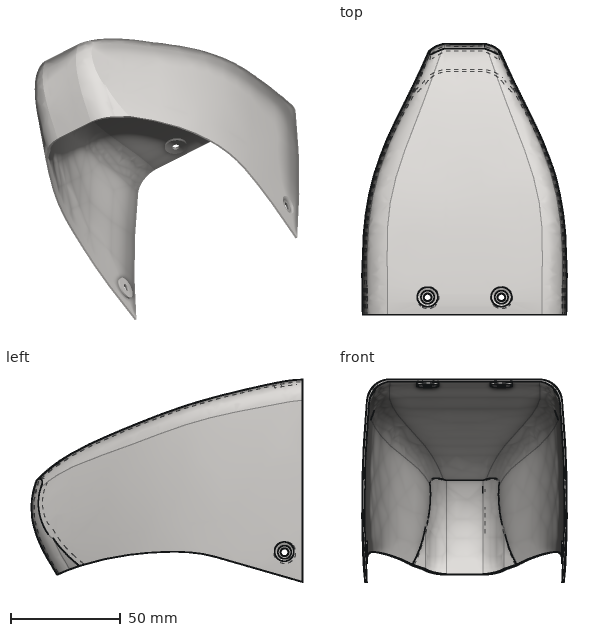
import cadquery as cq

length = 123.4
wall = 1.0
far = 246.8
base = -7.4

cross_sections = [
    (-12.3, 45.4, 88.8, 1.4, 1.0),
    (3.1, 46.2, 92.0, 1.4, 1.0),
    (18.5, 46.3, 89.3, 1.4, 1.0),
    (59.2, 42.2, 78.2, 1.9, 0.9),
    (90.1, 30.4, 65.9, 3.1, 0.8),
    (109.3, 21.0, 55.9, 4.3, 0.6),
    (120.9, 15.8, 46.4, 4.9, 0.5),
    (128.3, 12.3, 37.6, 4.9, 0.4),
]

corner_foot = (1.7, 9.5)
corner_middle = (4.8, 3.0)
corner_top = (11.1, 0.0)
widest_level = 0.6

nose_flat = (9.3, 123.4)
nose_bend = (14.3, 121.4)
nose_cheek = (18.8, 116.2)
nose_flank = (69.1, 55.5)
nose_levels = [(-9.9, 104.9), (3.3, 111.7), (25.5, 122.4), (35.8, length), (45.7, 121.3), (98.7, 116)]

rim_rear = (0, 0)
rim_bend = (39.9, 11.5)
rim_crest = (65.4, 13.6)
rim_nose = (111.7, 3.3)
rim_end = (128.3, -5.3)

hole_diameter = 3.5
seat_diameter = 10.0
seat_floor_diameter = 6.0
seat_depth = 1.1
boss_depth = 2.3
seat_lead = 1.2
seat_setback = 8.3
roof_seat_x = 16.8
roof_seat_z = 91.6
roof_seat_slope = 0.16
side_seat_x = 46.5
side_seat_z = 13.6


def mirrored(point):
    """Point reflected across the YZ plane."""
    return (-point[0], point[1])


def cross_section(y, half_width, roof, lean, scale, inset):
    """Outline at one distance from the rear, with barrelled walls and round roof corners."""
    half = half_width - inset
    top = roof - inset
    foot = (half - lean, base - inset)
    widest = (half, roof * widest_level)
    corner = [(half - dx * scale, top - dz * scale) for dx, dz in (corner_foot, corner_middle, corner_top)]
    return (
        cq.Workplane("XZ", origin=(0, y, 0))
        .moveTo(*foot)
        .threePointArc(widest, corner[0])
        .threePointArc(corner[1], corner[2])
        .lineTo(*mirrored(corner[2]))
        .threePointArc(mirrored(corner[1]), mirrored(corner[0]))
        .threePointArc(mirrored(widest), mirrored(foot))
        .close()
        .val()
    )


def nose_outline(height, reach, inset):
    """Horizontal outline of the nose with rounded corners; its flanks lie outside the walls."""
    shift = reach - length - inset
    flat, bend, cheek, flank = [
        (x - inset, y + shift) for x, y in (nose_flat, nose_bend, nose_cheek, nose_flank)
    ]
    rear = (flank[0], -far)
    return (
        cq.Workplane("XY", origin=(0, 0, height))
        .moveTo(*rear)
        .lineTo(*flank)
        .lineTo(*cheek)
        .threePointArc(bend, flat)
        .lineTo(*mirrored(flat))
        .threePointArc(mirrored(bend), mirrored(cheek))
        .lineTo(*mirrored(flank))
        .lineTo(*mirrored(rear))
        .close()
        .val()
    )


def closed_body(inset):
    """Solid body under the skin, shrunk by the inset."""
    tunnel = cq.Solid.makeLoft([cross_section(*section, inset) for section in cross_sections])
    nose = cq.Solid.makeLoft([nose_outline(*level, inset) for level in nose_levels])
    return cq.Workplane(tunnel).intersect(cq.Workplane(nose))


def above_rim():
    """Region kept by the straight rear cut and the arched lower rim."""
    return (
        cq.Workplane("YZ")
        .moveTo(*rim_rear)
        .lineTo(*rim_bend)
        .spline([rim_crest, rim_nose, rim_end], tangents=[rim_bend, (1, -0.5)], includeCurrent=True)
        .lineTo(rim_end[0], far)
        .lineTo(0, far)
        .close()
        .extrude(far / 2, both=True)
    )


def add_seat(shell, outer, x, z, inward):
    """Countersunk screw hole with a round boss on the inside of the shell."""
    origin = cq.Vector(x, seat_setback, z)
    direction = cq.Vector(*inward).normalized()
    start = origin - direction * seat_lead
    boss = cq.Solid.makeCylinder(seat_diameter / 2, boss_depth + seat_lead, start, direction)
    sink = cq.Solid.makeCone(seat_diameter / 2, seat_floor_diameter / 2, seat_depth, origin, direction)
    hole = cq.Solid.makeCylinder(hole_diameter / 2, boss_depth + 2 * seat_lead, start, direction)
    return shell.union(outer.intersect(cq.Workplane(boss))).cut(cq.Workplane(sink)).cut(cq.Workplane(hole))


outer_body = closed_body(0)
result = outer_body.intersect(above_rim()).cut(closed_body(wall))
for hand in (-1, 1):
    result = add_seat(result, outer_body, hand * roof_seat_x, roof_seat_z, (0, -roof_seat_slope, -1))
    result = add_seat(result, outer_body, hand * side_seat_x, side_seat_z, (-hand, 0, 0))